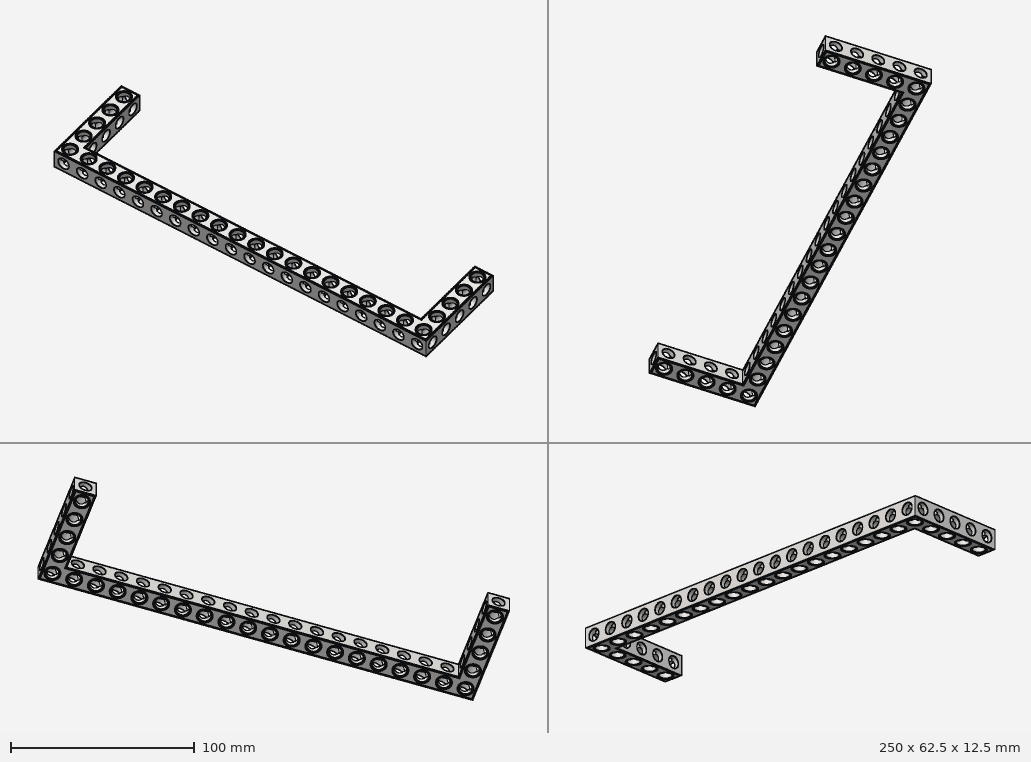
import cadquery as cq
pitch = 12.5
base_holes = 20
arm_holes = 5
hole_diameter = 7.0
bevel_steps = 3
edge_tread = 0.35
hole_tread = 0.38
riser = 0.1
side_recess_diameter = 7.5
side_recess_depth = 0.2

length = base_holes * pitch
depth = arm_holes * pitch
half_pitch = pitch / 2
hole_radius = hole_diameter / 2
side_recess_radius = side_recess_diameter / 2
bevel_height = bevel_steps * riser

base_positions = [half_pitch + i * pitch for i in range(base_holes)]
arm_positions = [half_pitch + i * pitch for i in range(arm_holes)]
arm_centres = [base_positions[0], base_positions[-1]]


def frame_layer(inset, bottom, height):
    """A U-shaped slab whose outline lies the given inset inside the full outline."""
    opening_width = length - 2 * pitch + 2 * inset
    slab = cq.Workplane("XY").box(length - 2 * inset, depth - 2 * inset, height, centered=False)
    opening = cq.Workplane("XY").box(opening_width, depth, height, centered=False)
    slab = slab.translate((inset, inset, bottom))
    return slab.cut(opening.translate((pitch - inset, pitch - inset, bottom)))


def stepped_frame():
    """U-shaped frame with stair-stepped bevels around its top and bottom faces."""
    body = frame_layer(0, bevel_height, pitch - 2 * bevel_height)
    for step in range(1, bevel_steps + 1):
        inset = step * edge_tread
        lower_layer = bevel_height - step * riser
        upper_layer = pitch - bevel_height + (step - 1) * riser
        body = body.union(frame_layer(inset, lower_layer, riser))
        body = body.union(frame_layer(inset, upper_layer, riser))
    return body


def vertical_hole(x, y):
    """A through hole along Z that widens in stair steps towards both ends."""
    bottom = cq.Vector(x, y, 0)
    top = cq.Vector(x, y, pitch)
    up = cq.Vector(0, 0, 1)
    cutters = [cq.Solid.makeCylinder(hole_radius, pitch, bottom, up)]
    for step in range(1, bevel_steps + 1):
        radius = hole_radius + step * hole_tread
        reach = bevel_height - (step - 1) * riser
        cutters.append(cq.Solid.makeCylinder(radius, reach, bottom, up))
        cutters.append(cq.Solid.makeCylinder(radius, reach, top, up * -1))
    return cutters[0].fuse(*cutters[1:])


def cross_hole(start, direction, spans):
    """A horizontal hole, recessed at both ends of each (offset, span length) it crosses."""
    along = cq.Vector(*direction)
    origin = cq.Vector(*start)
    cutters = []
    for offset, span in spans:
        near = origin + along * offset
        far = near + along * span
        cutters.append(cq.Solid.makeCylinder(hole_radius, span, near, along))
        cutters.append(cq.Solid.makeCylinder(side_recess_radius, side_recess_depth, near, along))
        cutters.append(cq.Solid.makeCylinder(side_recess_radius, side_recess_depth, far, along * -1))
    return cutters[0].fuse(*cutters[1:])


hole_cutters = [vertical_hole(x, half_pitch) for x in base_positions]
hole_cutters += [vertical_hole(x, y) for x in arm_centres for y in arm_positions[1:]]

for x in base_positions:
    span = depth if x in arm_centres else pitch
    hole_cutters.append(cross_hole((x, 0, half_pitch), (0, 1, 0), [(0, span)]))

hole_cutters.append(cross_hole((0, half_pitch, half_pitch), (1, 0, 0), [(0, length)]))
for y in arm_positions[1:]:
    arm_spans = [(0, pitch), (length - pitch, pitch)]
    hole_cutters.append(cross_hole((0, y, half_pitch), (1, 0, 0), arm_spans))

result = cq.Workplane(stepped_frame().val().cut(*hole_cutters))